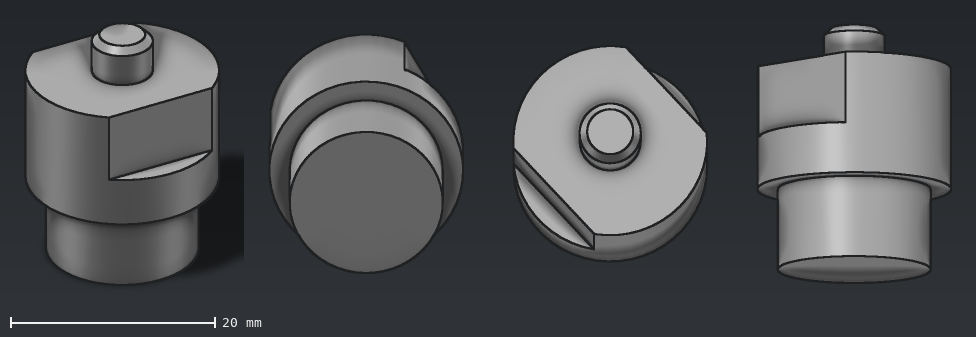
import cadquery as cq

total_height = 24.0
spigot_height = 8.0
collar_height = 5.0
flats_height = 7.0
body_height = collar_height + flats_height
body_top = spigot_height + body_height
pin_height = total_height - body_top

body_diameter = 19.0
spigot_diameter = 15.0
width_across_flats = spigot_diameter
pin_diameter = 6.0
pin_chamfer = 0.75


def cylinder(diameter, height, base_z):
    """Upright cylinder on the Z axis, standing on base_z."""
    return cq.Workplane("XY").workplane(offset=base_z).circle(diameter / 2).extrude(height)


def flatted_body():
    """Round body whose upper part is cut to two wrench flats facing -X and +X."""
    collar = cylinder(body_diameter, collar_height, spigot_height)
    flats_base = spigot_height + collar_height
    upper = cylinder(body_diameter, flats_height, flats_base)
    between_flats = (
        cq.Workplane("XY")
        .workplane(offset=flats_base)
        .rect(width_across_flats, body_diameter)
        .extrude(flats_height)
    )
    return collar.union(upper.intersect(between_flats))


def chamfered_pin():
    """Locating pin on top of the body, with a chamfered tip."""
    return cylinder(pin_diameter, pin_height, body_top).faces(">Z").chamfer(pin_chamfer)


spigot = cylinder(spigot_diameter, spigot_height, 0)
result = spigot.union(flatted_body()).union(chamfered_pin())